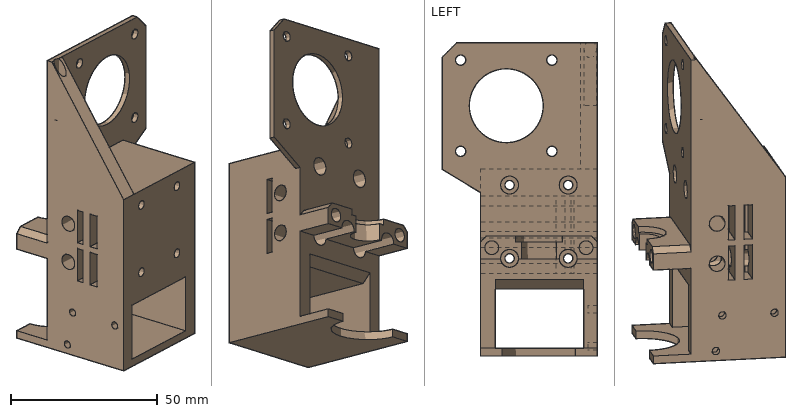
import cadquery as cq

length = 45.8
height = 106.8
plate_width = 53.0

both_sides = (-1, 1)

plate_front = 13.0
plate_thickness = 2.0
plate_back = plate_front + plate_thickness
plate_corner = 5.0
overhang_bottom = 63.6
overhang_slope_end = 55.7
motor_y = 31.1
motor_z = 85.3
motor_bore = 25.1
motor_screw_pitch = 31.1
motor_screw_hole = 3.4

block_width = 39.9
block_top = 63.7
block_mid_y = block_width / 2
side_wall = 5.8

tunnel_near_wall = 4.7
tunnel_width = 30.1
tunnel_floor = 2.8
tunnel_ceiling = 22.8
ceiling_chamfer_height = 3.2
ceiling_chamfer_length = 3.2

tongue_notch_radius = 12.5
boss_bottom = 33.1
boss_top = 40.9
boss_chamfer = 2.0
boss_bore_radius = 6.0
boss_rim_radius = 8.0
boss_rim_depth = 2.0
boss_screw_hole = 4.7
boss_screw_pitch = 32.1
boss_screw_z = 36.9

bolt_pitch = 20.0
bolt_heights = (33.3, 58.3)
bolt_hole = 3.1
bolt_head_hole = 6.1
bolt_head_end = 40.6

rod_x = 22.1
rod_hole = 5.4
row_z = 48.5
row_pitch = 14.2
slot_height = 12.1
through_slot_start = 25.9
through_slot_width = 2.3
bent_slot_start = 31.4
bent_slot_width = 3.0
bent_slot_depth = 9.0
bent_slot_step = 1.0

pilot_hole = 2.6
pilot_depth = 3.2
pilot_places = ((23.9, 15.9), (42.0, 15.9), (21.7, 3.4))
top_hole = 4.2
top_hole_x = 16.7
top_hole_y = 2.5
top_hole_depth = 21.4


def box(x0, x1, y0, y1, z0, z1):
    """Box between the given limits."""
    return cq.Workplane("XY").box(x1 - x0, y1 - y0, z1 - z0, centered=False).translate((x0, y0, z0))


def rod_along_x(diameter, y, z, x0, x1):
    """Round bar along X between the given ends."""
    return cq.Workplane("YZ", origin=(x0, y, z)).circle(diameter / 2).extrude(x1 - x0)


def rod_along_y(diameter, x, z, depth):
    """Round cutter going in from the side face Y = 0."""
    return cq.Workplane("XZ", origin=(x, 0, z)).circle(diameter / 2).extrude(-depth)


def rod_along_z(radius, x, y, z0, z1):
    """Round bar along Z between the given ends."""
    return cq.Workplane("XY", origin=(x, y, z0)).circle(radius).extrude(z1 - z0)


def make_plate():
    outline = [
        (0, 0),
        (block_width, 0),
        (block_width, overhang_slope_end),
        (plate_width, overhang_bottom),
        (plate_width, height - plate_corner),
        (plate_width - plate_corner, height),
        (0, height),
    ]
    plate = cq.Workplane("YZ", origin=(plate_front, 0, 0)).polyline(outline).close()
    plate = plate.extrude(plate_thickness)
    plate = plate.cut(rod_along_x(motor_bore, motor_y, motor_z, plate_front, plate_back))
    for side in both_sides:
        for level in both_sides:
            y = motor_y + side * motor_screw_pitch / 2
            z = motor_z + level * motor_screw_pitch / 2
            plate = plate.cut(rod_along_x(motor_screw_hole, y, z, plate_front, plate_back))
    return plate


def make_gusset():
    """Side wall whose upper edge slopes from the plate top down to the block."""
    corners = [
        (plate_front, 0),
        (length, 0),
        (length, block_top),
        (plate_back, height),
        (plate_front, height),
    ]
    return cq.Workplane("XZ").polyline(corners).close().extrude(-side_wall)


def make_boss():
    boss = box(0, plate_front, 0, block_width, boss_bottom, boss_top)
    boss = boss.edges("|X and >Z").chamfer(boss_chamfer)
    boss = boss.cut(rod_along_z(boss_bore_radius, 0, block_mid_y, boss_bottom, boss_top))
    boss = boss.cut(rod_along_z(boss_rim_radius, 0, block_mid_y, boss_top - boss_rim_depth, boss_top))
    for side in both_sides:
        y = block_mid_y + side * boss_screw_pitch / 2
        boss = boss.cut(rod_along_x(boss_screw_hole, y, boss_screw_z, 0, plate_front))
    return boss


def make_tongue():
    tongue = box(0, plate_front, 0, block_width, 0, tunnel_floor)
    return tongue.cut(rod_along_z(tongue_notch_radius, 0, block_mid_y, 0, tunnel_floor))


def tunnel_cutter():
    profile = [
        (plate_front, tunnel_floor),
        (length, tunnel_floor),
        (length, tunnel_ceiling),
        (plate_front + ceiling_chamfer_length, tunnel_ceiling),
        (plate_front, tunnel_ceiling + ceiling_chamfer_height),
    ]
    tunnel = cq.Workplane("XZ", origin=(0, tunnel_near_wall, 0)).polyline(profile).close()
    return tunnel.extrude(-tunnel_width)


def bolt_cutter(y, z):
    shank = rod_along_x(bolt_hole, y, z, 0, length)
    return shank.union(rod_along_x(bolt_head_hole, y, z, 0, bolt_head_end))


def through_slot_cutter(z0):
    slot_end = through_slot_start + through_slot_width
    return box(through_slot_start, slot_end, 0, block_width, z0, z0 + slot_height)


def bent_slot_cutter(z0):
    """Slot that runs straight in, then turns back at 45 degrees into the through slot."""
    slot_end = bent_slot_start + bent_slot_width
    turn_x = slot_end - bent_slot_step
    join_y = bent_slot_depth + turn_x - through_slot_start
    corners = [
        (bent_slot_start, 0),
        (slot_end, 0),
        (slot_end, bent_slot_depth),
        (turn_x, bent_slot_depth),
        (through_slot_start, join_y),
        (through_slot_start, join_y - bent_slot_width),
        (bent_slot_start, bent_slot_depth - bent_slot_step),
    ]
    return cq.Workplane("XY", origin=(0, 0, z0)).polyline(corners).close().extrude(slot_height)


body = make_plate().union(box(plate_front, length, 0, block_width, 0, block_top))
body = body.union(make_gusset()).union(make_boss()).union(make_tongue())
body = body.cut(tunnel_cutter())

for side in both_sides:
    for bolt_z in bolt_heights:
        body = body.cut(bolt_cutter(block_mid_y + side * bolt_pitch / 2, bolt_z))

for row_mid in (row_z, row_z - row_pitch):
    slot_bottom = row_mid - slot_height / 2
    body = body.cut(rod_along_y(rod_hole, rod_x, row_mid, block_width))
    body = body.cut(through_slot_cutter(slot_bottom))
    body = body.cut(bent_slot_cutter(slot_bottom))

for x, z in pilot_places:
    body = body.cut(rod_along_y(pilot_hole, x, z, pilot_depth))
body = body.cut(rod_along_z(top_hole / 2, top_hole_x, top_hole_y, height - top_hole_depth, height))

result = body